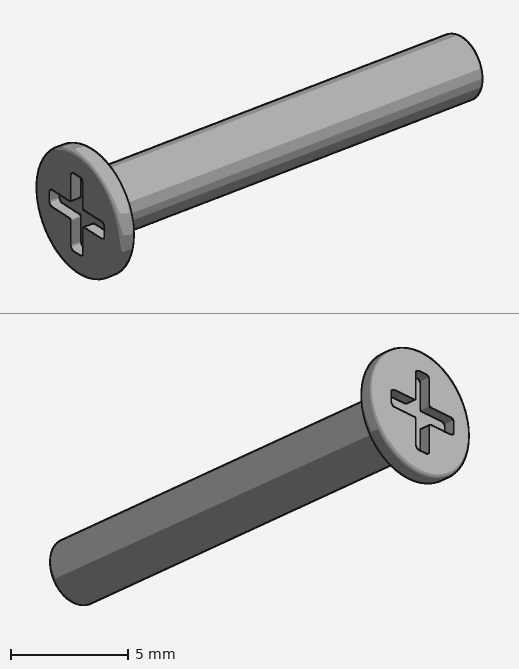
import cadquery as cq

total_length = 20.9
head_diameter = 6.0
head_thickness = 0.9
shank_diameter = 3.0
front_edge_fillet = 0.25
back_edge_fillet = 0.25
tip_fillet = 0.25

recess_span = 3.85
recess_width = 0.84
recess_depth = 0.55
recess_end_radius = 0.2
recess_inner_radius = 0.08

head_front = -total_length / 2
head_back = head_front + head_thickness


def cylinder_along_y(diameter, start, length):
    """Solid cylinder on the Y axis, from start toward +Y."""
    return cq.Workplane("XZ", origin=(0, start, 0)).circle(diameter / 2).extrude(-length)


def make_head():
    head = cylinder_along_y(head_diameter, head_front, head_thickness)
    head = head.faces("<Y").edges().fillet(front_edge_fillet)
    return head.faces(">Y").edges().fillet(back_edge_fillet)


def make_shank():
    shank = cylinder_along_y(shank_diameter, head_back, total_length - head_thickness)
    return shank.faces(">Y").edges().fillet(tip_fillet)


def recess_arm(size_x, size_z):
    """Slot with rounded corners, sunk into the head face."""
    arm = cq.Workplane("XZ", origin=(0, head_front, 0)).rect(size_x, size_z).extrude(-recess_depth)
    return arm.edges("|Y").fillet(recess_end_radius)


def make_cross_recess():
    cross = recess_arm(recess_span, recess_width).union(recess_arm(recess_width, recess_span))
    center_box = cq.selectors.BoxSelector(
        (-recess_width, head_front - recess_depth, -recess_width),
        (recess_width, head_front + recess_depth, recess_width),
    )
    return cross.edges("|Y").edges(center_box).fillet(recess_inner_radius)


result = make_head().union(make_shank()).cut(make_cross_recess())